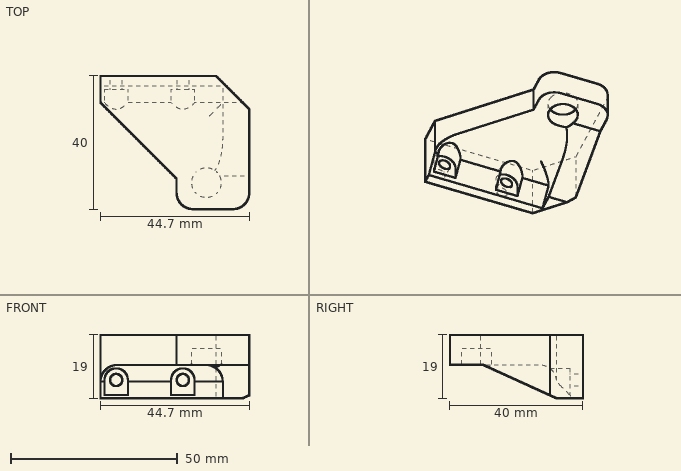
import cadquery as cq

height = 19.0
depth = 40.0
plate_thickness = 9.0
plate_underside = height - plate_thickness

left_side_length = 8.0
tab_width = 21.9
tab_left = 22.78
tab_corner_radius = 5.0
back_corner_chamfer = 10.0
width = tab_left + tab_width

wall_thickness = left_side_length
rib_thickness = 8.0
rib_reach = 30.0
hollow_radius = 5.0
hollow_right = width - rib_thickness
bevel_height = plate_underside - hollow_radius
wall_foot_thickness = wall_thickness - bevel_height

hole_diameter = 3.6
hole_height = 5.5
first_hole_x = 4.7
hole_spacing = 20.0
seat_width = 7.0
seat_wall_thickness = 4.0

pocket_from_tab_side = 9.0
pocket_from_tab_front = 8.0
pocket_x = tab_left + pocket_from_tab_side
pocket_y = pocket_from_tab_front - depth
pocket_diameter = 8.9
pocket_depth = 5.0

overrun = 10.0


def make_body():
    """Plan outline at full height: 45 degree front edge and a rounded tab."""
    diagonal_end_y = -(left_side_length + tab_left)
    body = (
        cq.Workplane("XY")
        .moveTo(0, 0)
        .lineTo(width - back_corner_chamfer, 0)
        .lineTo(width, -back_corner_chamfer)
        .lineTo(width, -depth)
        .lineTo(tab_left, -depth)
        .lineTo(tab_left, diagonal_end_y)
        .lineTo(0, -left_side_length)
        .close()
        .extrude(height)
    )
    return body.edges("|Z and <Y").fillet(tab_corner_radius)


def make_side_profile():
    """Side profile across the full width: plate, sloping rib and back wall."""
    return (
        cq.Workplane("YZ")
        .moveTo(0, 0)
        .lineTo(0, height)
        .lineTo(-depth, height)
        .lineTo(-depth, plate_underside)
        .lineTo(-rib_reach, plate_underside)
        .lineTo(-wall_thickness, 0)
        .close()
        .extrude(width)
    )


def make_hollow():
    """Space under the plate, rounded where its roof meets the wall and the rib."""
    block = (
        cq.Workplane("XY")
        .box(hollow_right + overrun, depth, plate_underside + overrun, centered=False)
        .translate((-overrun, -wall_thickness - depth, -overrun))
    )
    return block.faces(">Z").edges(">Y or >X").fillet(hollow_radius)


def make_wall_bevel():
    """Wedge that thins the front of the back wall towards its foot."""
    return (
        cq.Workplane("YZ")
        .moveTo(-wall_foot_thickness, 0)
        .lineTo(-wall_thickness, bevel_height)
        .lineTo(-wall_thickness, 0)
        .close()
        .extrude(hollow_right)
    )


def make_screw_cut(x):
    """Through hole plus a round-topped seat that is open at the bottom."""
    front_plane = cq.Workplane("XZ", origin=(x, 0, 0))
    hole = front_plane.center(0, hole_height).circle(hole_diameter / 2).extrude(depth)
    half_width = seat_width / 2
    seat = (
        cq.Workplane("XZ", origin=(x, -seat_wall_thickness, 0))
        .moveTo(-half_width, 0)
        .lineTo(-half_width, hole_height)
        .threePointArc((0, hole_height + half_width), (half_width, hole_height))
        .lineTo(half_width, 0)
        .close()
        .extrude(wall_thickness)
    )
    return hole.union(seat)


def make_round_pocket():
    """Blind pocket that enters the plate from below and nicks the tip of the rib."""
    return (
        cq.Workplane("XY", origin=(pocket_x, pocket_y, 0))
        .circle(pocket_diameter / 2)
        .extrude(plate_underside + pocket_depth)
    )


result = make_body().intersect(make_side_profile())
result = result.cut(make_hollow()).cut(make_wall_bevel()).cut(make_round_pocket())
for hole_x in (first_hole_x, first_hole_x + hole_spacing):
    result = result.cut(make_screw_cut(hole_x))